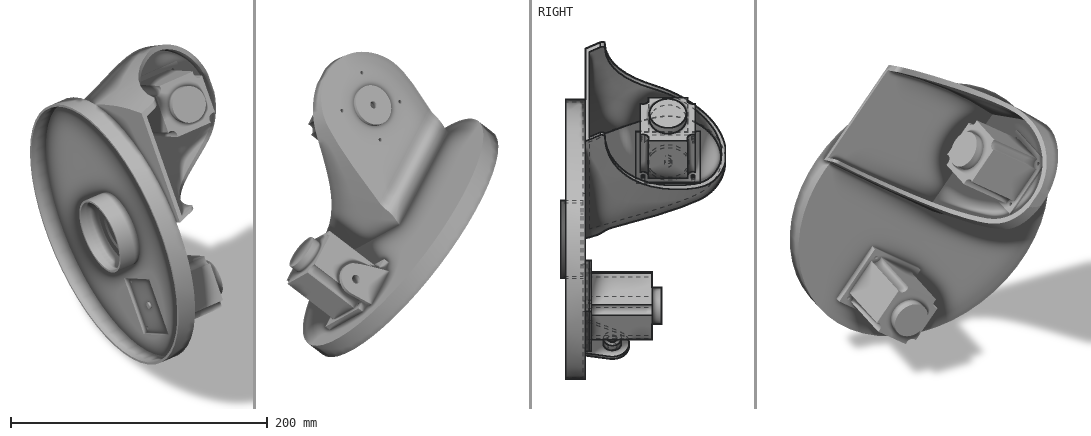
import cadquery as cq
import math

TURN = 38.0

WALL = 1.8
DISC_DIA = 218.0
RIM_HEIGHT = 15.2
HUB_OUTER_DIA = 60.7
HUB_BORE_DIA = 57.2
HUB_HEIGHT = 19.2
SEAT_OUTER_DIA = 53.5
SEAT_INNER_DIA = 40.0

FLANGE_SIZE = 50.5
FLANGE_THICKNESS = 1.5
BODY_SIZE = 42.8
BODY_LENGTH = 47.3
NOTCH_RADIUS = 4.5
CAP_DIA = 28.5
CAP_LENGTH = 7.4
SHAFT_DIA = 5.3
SHAFT_LENGTH = 3.5
SHAFT_HOLE_DIA = 5.8
BOLT_SPACING = 38.9
BOLT_DIA = 3.0

MOUNT_V = -65.6
MOUNT_RISE = 3.2
MOUNT_FLOOR = 1.8
POCKET_SIZE = 46.7

EAR_U = -35.5
EAR_THICKNESS = 3.2
EAR_V = -77.5
EAR_HOLE_Y = 21.0
EAR_HOLE_DIA = 7.0
EAR_RADIUS = 13.0
EAR_FOOT_LOW = -87.2
EAR_FOOT_HIGH = -53.0
EAR_BOSS_DIA = 14.2
EAR_BOSS_LENGTH = 6.3

SHELL_WALL = 3.7
SHELL_FLOOR = 3.2
FACE_U = -1.5
FOOT_U = -5.8
END_U = 115.3
TIP_U = 117.0
TIP_Y = 11.5
FOOT_HEIGHT = 7.0
STEP_TOP = 21.0
ARCH_TOP = 109.0
ARCH_RADIUS = 45.2
ARCH_V = 77.7
ARCH_Y = 63.5
MOTOR_V = 78.8
MOTOR_Y = 64.3
RIM_CURVE = [(8.0, ARCH_TOP), (24.0, 71.5), (43.3, 45.2), (77.5, 22.5), (113.0, 15.2)]
SECTIONS = [
    (FOOT_U, 5.3, 99.8, ARCH_V, ARCH_RADIUS),
    (71.0, 5.8, 103.5, ARCH_V + 1.0, ARCH_RADIUS + 1.3),
    (TIP_U, 6.8, 98.0, ARCH_V + 1.3, ARCH_RADIUS - 2.5),
]
CROWN_STEPS = 8
BOSS_DIA = 32.0
BOSS_HEIGHT = 3.7
KEY_U = 15.5
KEY_V = 53.3
KEY_DIA = 14.2
KEY_LENGTH = 36.0
KEY_ANGLE = 90.0


def floor_plane(y):
    """Workplane at height y with u and v as its axes; extrude by a negative length to go along +y."""
    return cq.Workplane("XZ", origin=(0, y, 0))


def section_plane(u):
    """Workplane across u with v and y as its axes; extrude by a negative length to go along +u."""
    return cq.Workplane(cq.Plane(origin=(u, 0, 0), xDir=(0, 0, 1), normal=(-1, 0, 0)))


def arch(plane, base_y, low, high, centre, radius):
    """Outline with a flat base and one smooth curve that runs straight up both sides and round the top."""
    feet = [(low, base_y), (high, base_y)]
    angles = []
    for foot, side in zip(feet, (-1, 1)):
        dv = foot[0] - centre[0]
        dy = foot[1] - centre[1]
        angles.append(math.atan2(dy, dv) % (2 * math.pi) + side * math.acos(radius / math.hypot(dv, dy)))
    low_angle = angles[0]
    high_angle = angles[1] - 2 * math.pi
    crown = []
    for step in range(CROWN_STEPS + 1):
        angle = low_angle + (high_angle - low_angle) * step / CROWN_STEPS
        crown.append((centre[0] + radius * math.cos(angle), centre[1] + radius * math.sin(angle)))
    side_directions = [
        (crown[0][0] - low, crown[0][1] - base_y),
        (high - crown[-1][0], base_y - crown[-1][1]),
    ]
    return plane.moveTo(low, base_y).spline([*crown, feet[1]], side_directions, includeCurrent=True).close()


def bolt_pattern(plane, dia, depth):
    """Four round cutters on the corners of the motor's bolt square."""
    corners = plane.rect(BOLT_SPACING, BOLT_SPACING, forConstruction=True).vertices()
    return corners.circle(dia / 2).extrude(depth)


def key_slot():
    """Slot shape through the turntable floor: the key under the bracket and the slot that it fills."""
    return floor_plane(0).center(KEY_U, KEY_V).slot2D(KEY_LENGTH, KEY_DIA, KEY_ANGLE).extrude(WALL)


def make_motor():
    """Motor along +Z with the front of its flange at z = 0 and its shaft pointing to -Z."""
    body_top = FLANGE_THICKNESS + BODY_LENGTH
    flange = cq.Workplane("XY").rect(FLANGE_SIZE, FLANGE_SIZE).extrude(FLANGE_THICKNESS)
    flange = flange.cut(bolt_pattern(cq.Workplane("XY"), BOLT_DIA, FLANGE_THICKNESS))
    body_plane = cq.Workplane("XY", origin=(0, 0, FLANGE_THICKNESS))
    body = body_plane.rect(BODY_SIZE, BODY_SIZE).extrude(BODY_LENGTH)
    body = body.cut(bolt_pattern(body_plane, 2 * NOTCH_RADIUS, BODY_LENGTH))
    cap = cq.Workplane("XY", origin=(0, 0, body_top)).circle(CAP_DIA / 2).extrude(CAP_LENGTH)
    shaft = cq.Workplane("XY").circle(SHAFT_DIA / 2).extrude(-SHAFT_LENGTH)
    return flange.union(body).union(cap).union(shaft).solids().val()


def side_profile():
    """Solid across v: stepped foot, flat motor face, and a curved rim falling to the open end."""
    step_u = (FOOT_U + FACE_U) / 2
    step_y = (FOOT_HEIGHT + STEP_TOP) / 2
    return (
        cq.Workplane("XY")
        .moveTo(FOOT_U, 0)
        .lineTo(FOOT_U, FOOT_HEIGHT)
        .tangentArcPoint((step_u, step_y), relative=False)
        .tangentArcPoint((FACE_U, STEP_TOP), relative=False)
        .lineTo(FACE_U, ARCH_TOP)
        .lineTo(*RIM_CURVE[0])
        .spline(RIM_CURVE[1:], includeCurrent=True)
        .tangentArcPoint((TIP_U, TIP_Y), relative=False)
        .lineTo(END_U, 0)
        .close()
        .extrude(DISC_DIA)
    )


def shell_loft(base_y, wall):
    """Body lofted through the cross-sections, inset by the wall."""
    wires = [
        arch(section_plane(u), base_y, low + wall, high - wall, (centre, ARCH_Y), radius - wall)
        .wires()
        .val()
        for u, low, high, centre, radius in SECTIONS
    ]
    return cq.Workplane(cq.Solid.makeLoft(wires))


def make_bracket():
    """Open shell with a floor, a motor face with a round boss outside it, and a key underneath."""
    bracket = shell_loft(0, 0).intersect(side_profile())
    inner_u = FACE_U + SHELL_WALL
    behind_face = section_plane(inner_u).rect(2 * DISC_DIA, 2 * DISC_DIA).extrude(-DISC_DIA)
    bracket = bracket.cut(shell_loft(SHELL_FLOOR, SHELL_WALL).intersect(behind_face))

    boss = section_plane(FACE_U).center(MOTOR_V, MOTOR_Y).circle(BOSS_DIA / 2).extrude(BOSS_HEIGHT)
    bracket = bracket.union(boss)
    drill = section_plane(inner_u).center(MOTOR_V, MOTOR_Y)
    bracket = bracket.cut(drill.circle(SHAFT_HOLE_DIA / 2).extrude(SHELL_WALL + BOSS_HEIGHT))
    bracket = bracket.cut(bolt_pattern(drill, BOLT_DIA, SHELL_WALL))
    return bracket.union(key_slot())


def make_ear():
    """Round-topped plate with a through hole and a boss behind it."""
    centre = (EAR_V, EAR_HOLE_Y)
    outline = arch(section_plane(EAR_U), 0, EAR_FOOT_LOW, EAR_FOOT_HIGH, centre, EAR_RADIUS)
    ear = outline.extrude(-EAR_THICKNESS)
    hole = section_plane(EAR_U).center(*centre)
    depth = EAR_THICKNESS + EAR_BOSS_LENGTH
    ear = ear.union(hole.circle(EAR_BOSS_DIA / 2).extrude(-depth))
    return ear.cut(hole.circle(EAR_HOLE_DIA / 2).extrude(-depth))


def make_turntable():
    """Shallow dish with a bearing hub at its centre, a pocketed motor pad, the key slot and the ear."""
    rim = floor_plane(0).circle(DISC_DIA / 2).extrude(RIM_HEIGHT)
    rim = rim.cut(floor_plane(-WALL).circle(DISC_DIA / 2 - WALL).extrude(RIM_HEIGHT))
    hub = floor_plane(0).circle(HUB_OUTER_DIA / 2).extrude(HUB_HEIGHT)
    hub = hub.cut(floor_plane(-WALL).circle(HUB_BORE_DIA / 2).extrude(HUB_HEIGHT))
    seat = floor_plane(-WALL).circle(SEAT_OUTER_DIA / 2).circle(SEAT_INNER_DIA / 2).extrude(WALL)
    turntable = rim.union(hub).union(seat)

    pad = floor_plane(0).center(0, MOUNT_V).rect(FLANGE_SIZE, FLANGE_SIZE).extrude(-MOUNT_RISE)
    pocket_top = MOUNT_RISE - MOUNT_FLOOR
    pocket = floor_plane(pocket_top).center(0, MOUNT_V).rect(POCKET_SIZE, POCKET_SIZE)
    pocket = pocket.extrude(pocket_top + WALL)
    turntable = turntable.union(pad).cut(pocket)
    drill = floor_plane(MOUNT_RISE).center(0, MOUNT_V)
    turntable = turntable.cut(drill.circle(SHAFT_HOLE_DIA / 2).extrude(MOUNT_FLOOR))
    turntable = turntable.cut(bolt_pattern(drill, BOLT_DIA, MOUNT_FLOOR))
    return turntable.cut(key_slot()).union(make_ear())


MOTOR_PLACES = [
    cq.Plane(origin=(0, MOUNT_RISE, MOUNT_V), xDir=(1, 0, 0), normal=(0, 1, 0)),
    cq.Plane(origin=(FACE_U + SHELL_WALL, MOTOR_Y, MOTOR_V), xDir=(0, 1, 0), normal=(1, 0, 0)),
]


def turned(solid):
    """Solid turned from the (u, y, v) frame into its final place."""
    return solid.rotate(cq.Vector(0, 0, 0), cq.Vector(0, 1, 0), -TURN)


turntable = turned(make_turntable().solids().val())
bracket = turned(make_bracket().solids().val())
motors = [turned(make_motor().moved(cq.Location(place))) for place in MOTOR_PLACES]

result = cq.Compound.makeCompound([turntable, bracket, *motors])